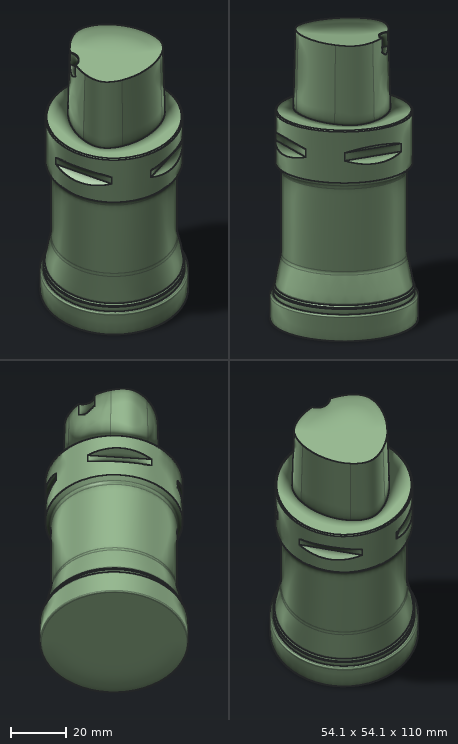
import cadquery as cq
import math


shank_length = 30.0
base_width = 35.4
top_width = base_width - shank_length / 20
lobe_eccentricity = 1.2
flat_half_angle = 24.0
points_per_face = 13

notch_radius = 4.5
notch_axis_y = -18.1
notch_depth = 5.5
notch_cone_angle = 40.0
notch_rim_chamfer = 0.2

flange_radius = 25.0
flange_length = 20.0
flange_edge_chamfer = 0.5

slot_count = 4
slot_start_angle = 45.0
slot_z = -10.0
slot_floor_distance = 22.1
slot_floor_height = 3.0
slot_cutter_overrun = 1.0
slot_mouth_height = 6.9

neck_radius = 23.0
neck_end_z = -54.4
undercut_fillet = 2.0

skirt_fillet_end = (23.17, -55.7)
skirt_bulge = (24.4, -60.9)
skirt_end = (25.2, -66.1)
skirt_band_height = 0.6
skirt_flare_height = 0.7
housing_length = 68.0

ring_length = 12.0
ring_spigot_radius = 25.75
ring_rim_radius = 27.025
ring_rim_height = 10.0
ring_top_fillet = 0.6
ring_bottom_fillet = 0.5


def shank_point(width, angle):
    """Point of the constant-width section whose outward normal has the given angle."""
    phase = math.radians(3 * (angle - 90))
    support = width / 2 + lobe_eccentricity * math.cos(phase)
    slope = -3 * lobe_eccentricity * math.sin(phase)
    direction = math.radians(angle)
    x = support * math.cos(direction) - slope * math.sin(direction)
    y = support * math.sin(direction) + slope * math.cos(direction)
    return x, y


def shank_wire(width, z):
    """Closed section made of three flat sides alternating with three lobes."""
    edges = []
    for side in range(3):
        middle = -90 + 120 * side
        limits = (middle - flat_half_angle, middle + flat_half_angle, middle + 120 - flat_half_angle)
        for start, end in zip(limits, limits[1:]):
            step = (end - start) / (points_per_face - 1)
            angles = [start + step * i for i in range(points_per_face)]
            points = [cq.Vector(*shank_point(width, a), z) for a in angles]
            tangents = [
                cq.Vector(-math.sin(math.radians(a)), math.cos(math.radians(a)), 0) for a in (start, end)
            ]
            edges.append(cq.Edge.makeSpline(points, tangents=tangents))
    return cq.Wire.assembleEdges(edges)


def make_notch_cutter():
    """Drill shape with a conical tip and a chamfered rim."""
    floor_z = shank_length - notch_depth
    cone_height = notch_radius * math.tan(math.radians(notch_cone_angle))
    return (
        cq.Workplane("XZ")
        .moveTo(0, floor_z - cone_height)
        .lineTo(notch_radius, floor_z)
        .lineTo(notch_radius, shank_length - notch_rim_chamfer)
        .lineTo(notch_radius + notch_rim_chamfer, shank_length)
        .lineTo(0, shank_length)
        .close()
        .revolve(360, (0, 0, 0), (0, 1, 0))
        .translate((0, notch_axis_y, 0))
    )


def make_shank():
    lower = shank_wire(base_width, 0)
    upper = shank_wire(top_width, shank_length)
    shank = cq.Workplane(cq.Solid.makeLoft([lower, upper], True))
    return shank.cut(make_notch_cutter())


def make_turned_body():
    """Flange, neck and flared skirt as one revolved profile."""
    diagonal = math.sqrt(0.5)
    undercut_end_z = (
        -flange_length
        - (flange_radius - neck_radius)
        - undercut_fillet * (2 * diagonal - 1)
    )
    undercut_start = (
        neck_radius + undercut_fillet * (1 - diagonal),
        undercut_end_z + undercut_fillet * diagonal,
    )
    half_sweep = math.radians(45 / 2)
    undercut_middle = (
        neck_radius + undercut_fillet * (1 - math.cos(half_sweep)),
        undercut_end_z + undercut_fillet * math.sin(half_sweep),
    )
    skirt_radius, skirt_end_z = skirt_end
    band_end_z = skirt_end_z - skirt_band_height
    return (
        cq.Workplane("XZ")
        .moveTo(0, 0)
        .lineTo(flange_radius - flange_edge_chamfer, 0)
        .lineTo(flange_radius, -flange_edge_chamfer)
        .lineTo(flange_radius, -flange_length)
        .lineTo(*undercut_start)
        .threePointArc(undercut_middle, (neck_radius, undercut_end_z))
        .lineTo(neck_radius, neck_end_z)
        .tangentArcPoint(skirt_fillet_end, relative=False)
        .threePointArc(skirt_bulge, skirt_end)
        .lineTo(skirt_radius, band_end_z)
        .lineTo(ring_spigot_radius, band_end_z - skirt_flare_height)
        .lineTo(ring_spigot_radius, -housing_length)
        .lineTo(0, -housing_length)
        .close()
        .revolve(360, (0, 0, 0), (0, 1, 0))
    )


def make_slot_cutter():
    """Straight V-sided slot across the rim on the +X side."""
    depth = flange_radius - slot_floor_distance
    flank_slope = (slot_mouth_height - slot_floor_height) / 2 / depth
    outer_distance = flange_radius + slot_cutter_overrun
    outer_half = slot_floor_height / 2 + flank_slope * (outer_distance - slot_floor_distance)
    return (
        cq.Workplane("XZ")
        .moveTo(slot_floor_distance, slot_z - slot_floor_height / 2)
        .lineTo(outer_distance, slot_z - outer_half)
        .lineTo(outer_distance, slot_z + outer_half)
        .lineTo(slot_floor_distance, slot_z + slot_floor_height / 2)
        .close()
        .extrude(flange_radius, both=True)
    )


def make_housing():
    housing = make_turned_body().union(make_shank())
    for i in range(slot_count):
        angle = slot_start_angle + 360 / slot_count * i
        housing = housing.cut(make_slot_cutter().rotate((0, 0, 0), (0, 0, 1), angle))
    return housing.solids()


def make_end_ring():
    """Wide rounded rim with a narrower spigot that carries the housing."""
    bottom_z = -housing_length - ring_length
    rim = (
        cq.Workplane("XY", origin=(0, 0, bottom_z))
        .circle(ring_rim_radius)
        .extrude(ring_rim_height)
        .faces(">Z").edges().fillet(ring_top_fillet)
        .faces("<Z").edges().fillet(ring_bottom_fillet)
    )
    spigot = cq.Workplane("XY", origin=(0, 0, bottom_z)).circle(ring_spigot_radius).extrude(ring_length)
    return rim.union(spigot).solids()


housing = make_housing()
end_ring = make_end_ring()

result = cq.Compound.makeCompound([housing.val(), end_ring.val()])